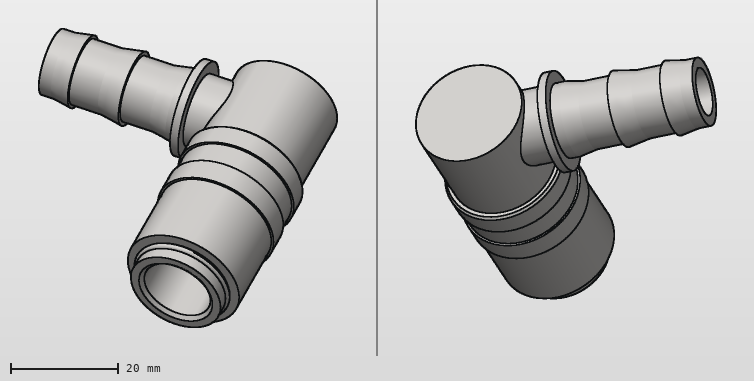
import cadquery as cq


body_radius = 10.5
body_end_y = 8.5
sleeve_radius = 11.3
sleeve_start_y = -10.0
sleeve_end_y = -38.95
ring_radius = 11.75
ring_width = 4.55
ring_chamfer = 0.45
second_ring_y = -19.45
nose_radius = 9.1
nose_end_y = -42.55
seal_section_radius = 0.65
seal_center_radius = 9.0

socket_radius = 6.7
socket_end_y = sleeve_start_y
socket_chamfer = 0.75
passage_radius = 4.85
passage_end_y = passage_radius
stem_bore_radius = 4.55

stem_length = 43.5
stem_radius = 6.5
collar_radius = 7.15
flange_radius = 9.5
flange_start = 27.9
flange_width = 1.65
free_barbs = [
    (2.45, 6.15, 7.15),
    (12.0, 16.5, 7.3),
]
collar_cone_start = 22.5
collar_start = 26.0


def cylinder_y(radius, y_start, y_end):
    """Cylinder about the Y axis between two Y positions."""
    return cq.Workplane("XZ", origin=(0, y_start, 0)).circle(radius).extrude(y_start - y_end)


def make_body():
    """Stepped coupling body with two grip rings and a seal ring round the nose."""
    body = cylinder_y(body_radius, body_end_y, sleeve_start_y)
    sleeve = cylinder_y(sleeve_radius, sleeve_start_y, sleeve_end_y)
    nose = cylinder_y(nose_radius, sleeve_end_y, nose_end_y)
    first_ring = cylinder_y(ring_radius, sleeve_start_y, sleeve_start_y - ring_width)
    first_ring = first_ring.faces(">Y").chamfer(ring_chamfer)
    second_ring = cylinder_y(ring_radius, second_ring_y, second_ring_y - ring_width)
    seal = cq.Workplane(
        cq.Solid.makeTorus(
            seal_center_radius,
            seal_section_radius,
            cq.Vector(0, sleeve_end_y - seal_section_radius, 0),
            cq.Vector(0, 1, 0),
        )
    )
    return body.union(sleeve).union(nose).union(first_ring).union(second_ring).union(seal)


def make_stem():
    """Barbed hose stem with a stop flange, revolved about the X axis."""
    free_end_x = -stem_length
    profile = cq.Workplane("XY").moveTo(free_end_x, 0).lineTo(free_end_x, stem_radius)
    for barb_start, barb_end, crest_radius in free_barbs:
        profile = (
            profile.lineTo(free_end_x + barb_start, stem_radius)
            .lineTo(free_end_x + barb_end, crest_radius)
            .lineTo(free_end_x + barb_end, stem_radius)
        )
    flange_start_x = free_end_x + flange_start
    flange_end_x = flange_start_x + flange_width
    profile = (
        profile.lineTo(free_end_x + collar_cone_start, stem_radius)
        .lineTo(free_end_x + collar_start, collar_radius)
        .lineTo(flange_start_x, collar_radius)
        .lineTo(flange_start_x, flange_radius)
        .lineTo(flange_end_x, flange_radius)
        .lineTo(flange_end_x, collar_radius)
        .lineTo(0, collar_radius)
        .lineTo(0, 0)
        .close()
    )
    return profile.revolve(axisStart=(0, 0, 0), axisEnd=(1, 0, 0))


def make_bores():
    """Chamfered socket, blind passage behind it, and the stem bore joining them."""
    socket = cylinder_y(socket_radius, socket_end_y, nose_end_y)
    entry = cq.Workplane(
        cq.Solid.makeCone(
            socket_radius + socket_chamfer,
            socket_radius,
            socket_chamfer,
            cq.Vector(0, nose_end_y, 0),
            cq.Vector(0, 1, 0),
        )
    )
    passage = cylinder_y(passage_radius, passage_end_y, socket_end_y)
    stem_bore = cq.Workplane("YZ").circle(stem_bore_radius).extrude(-stem_length)
    return socket.union(entry).union(passage).union(stem_bore)


result = make_body().union(make_stem()).cut(make_bores())